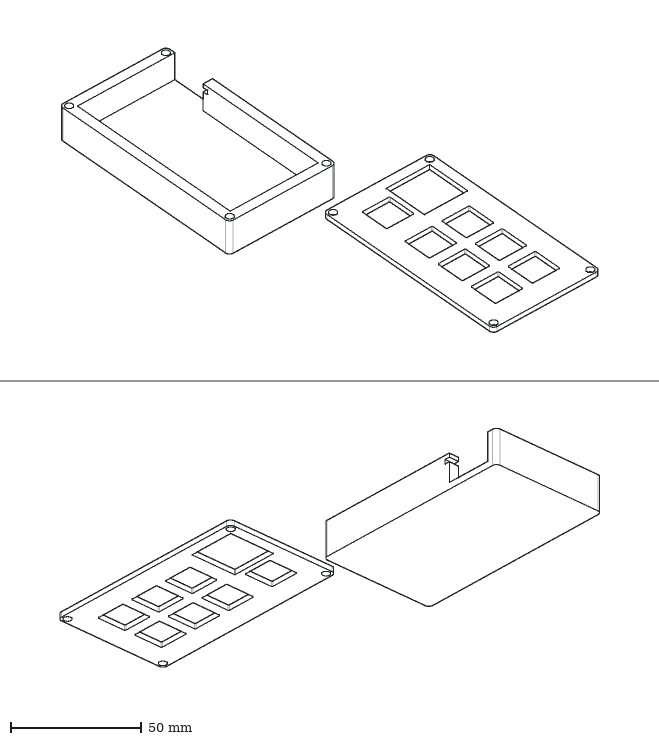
import cadquery as cq

body_length = 98.0
body_width = 55.0
corner_radius = 2.0
screw_diameter = 3.5
screw_inset = 2.7

overall_length = 204.8
overall_width = 95.5
plate_x = overall_length - body_length
plate_y = overall_width - body_width
plate_z = 3.0

case_height = 16.2
floor_thickness = 3.0
wall_thickness = 5.0
opening_length = 21.7
slot_depth = 2.5
slot_height = 2.0
slot_top_gap = 1.8

plate_thickness = 2.5
key_size = 14.1
key_corner_radius = 0.5
key_pitch = 19.0
key_columns = 3
key_rows = 2
first_key_x = 41.5
first_key_y = 18.2
lone_key_x = 17.0
window_x = 5.1
window_length = 22.0
window_width = 22.3
window_top_margin = 5.0


def rounded_block(height):
    """Block with the shared footprint, one corner of its bounding box at the origin."""
    return (
        cq.Workplane("XY")
        .box(body_length, body_width, height, centered=False)
        .edges("|Z")
        .fillet(corner_radius)
    )


def screw_holes(bottom, top):
    """Four cylinders on the screw axes, to be cut from a body."""
    return (
        cq.Workplane("XY", origin=(body_length / 2, body_width / 2, bottom))
        .rect(body_length - 2 * screw_inset, body_width - 2 * screw_inset, forConstruction=True)
        .vertices()
        .circle(screw_diameter / 2)
        .extrude(top - bottom)
    )


def make_case():
    """Open tray with blind screw holes and an opening at the left end of its back wall."""
    cavity = cq.Workplane("XY", origin=(wall_thickness, wall_thickness, floor_thickness)).box(
        body_length - 2 * wall_thickness,
        body_width - 2 * wall_thickness,
        case_height - floor_thickness,
        centered=False,
    )
    back_opening = cq.Workplane(
        "XY", origin=(wall_thickness, body_width - wall_thickness, floor_thickness)
    ).box(opening_length, wall_thickness, case_height - floor_thickness, centered=False)
    wall_end_slot = cq.Workplane(
        "XY",
        origin=(
            wall_thickness + opening_length,
            body_width - wall_thickness,
            case_height - slot_top_gap - slot_height,
        ),
    ).box(slot_depth, wall_thickness, slot_height, centered=False)
    case = rounded_block(case_height).cut(cavity).cut(back_opening).cut(wall_end_slot)
    return case.cut(screw_holes(floor_thickness, case_height))


def make_plate():
    """Cover plate with a window, a grid of key cutouts and one key cutout on its own."""
    key_centres = [
        (first_key_x + column * key_pitch, first_key_y + row * key_pitch)
        for column in range(key_columns)
        for row in range(key_rows)
    ]
    key_centres.append((lone_key_x, first_key_y))
    key_cutouts = (
        cq.Workplane("XY")
        .pushPoints(key_centres)
        .rect(key_size, key_size)
        .extrude(plate_thickness)
        .edges("|Z")
        .fillet(key_corner_radius)
    )
    window = cq.Workplane(
        "XY", origin=(window_x, body_width - window_top_margin - window_width, 0)
    ).box(window_length, window_width, plate_thickness, centered=False)
    plate = rounded_block(plate_thickness).cut(key_cutouts).cut(window)
    plate = plate.cut(screw_holes(0, plate_thickness))
    return plate.translate((plate_x, plate_y, plate_z))


case = make_case()
plate = make_plate()

result = cq.Compound.makeCompound([case.val(), plate.val()])